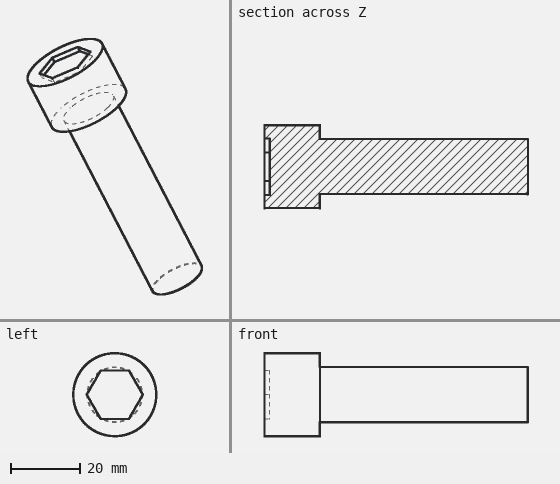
import math

import cadquery as cq

SHANK_DIAMETER = 16.0
SHANK_LENGTH = 60.0
TIP_CHAMFER = 0.2

HEAD_DIAMETER = 1.5 * SHANK_DIAMETER
HEAD_LENGTH = SHANK_DIAMETER

HEX_SIDES = 6
SOCKET_ACROSS_FLATS = 14.0
SOCKET_ACROSS_CORNERS = SOCKET_ACROSS_FLATS / math.cos(math.pi / HEX_SIDES)
SOCKET_DEPTH = 1.5


def make_head():
    """Plain cylindrical head."""
    return cq.Workplane("YZ").circle(HEAD_DIAMETER / 2).extrude(HEAD_LENGTH)


def make_shank():
    """Plain cylinder behind the head, with its free end lightly chamfered."""
    shank = (
        cq.Workplane("YZ", origin=(HEAD_LENGTH, 0, 0))
        .circle(SHANK_DIAMETER / 2)
        .extrude(SHANK_LENGTH)
    )
    return shank.faces(">X").edges().chamfer(TIP_CHAMFER)


def make_socket():
    """Hexagonal recess in the head face, with two corners pointing along Y."""
    return cq.Workplane("YZ").polygon(HEX_SIDES, SOCKET_ACROSS_CORNERS).extrude(SOCKET_DEPTH)


result = make_head().union(make_shank()).cut(make_socket())